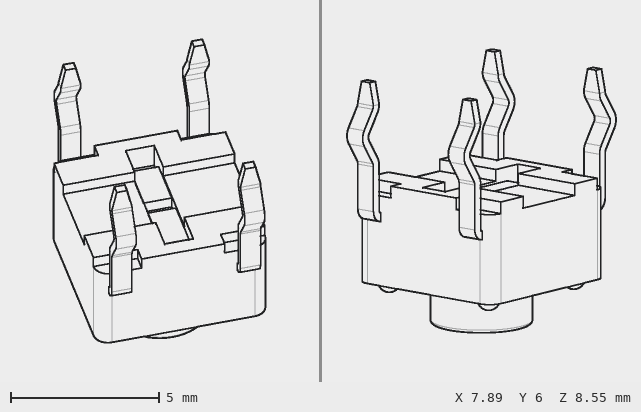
import cadquery as cq
import math


total_height = 8.55

body_side = 6.0
body_height = 3.505
corner_radius = 0.505

recess_depth = 0.4
channel_width = 2.67
corner_step_length = 1.55
slot_length = 4.94
slot_width = 1.0
slot_depth = 0.89

block_drop = 0.085
block_top = body_height - recess_depth - block_drop
block_inner_x = 0.265
block_outer_x = 1.92

button_height = 1.5
button_base_radius = 1.735
button_end_radius = 1.73
button_rounding = 0.13
bump_radius = 0.385
bump_offset = 2.21

pin_tip_z = total_height - button_height
pin_width = 0.7
pin_thickness = 0.3
pin_spacing_y = 4.5
pin_foot_z = 2.22
pin_outer_x = 3.39
foot_inner_radius = 0.11
foot_embed = 0.17
knee_span_x = 7.89
knee_outer_x = knee_span_x / 2
knee_z = 5.23
knee_angle = math.radians(33.7)
bend_inner_radius = 0.2
tip_length = 0.76
tip_width = 0.37


def make_body():
    body = (
        cq.Workplane("XY")
        .rect(body_side, body_side)
        .extrude(body_height)
        .edges("|Z")
        .fillet(corner_radius)
    )
    channel = (
        cq.Workplane("XY", origin=(0, 0, body_height - recess_depth))
        .rect(channel_width, body_side)
        .extrude(recess_depth)
    )
    corner_steps = (
        cq.Workplane("XY", origin=(0, 0, body_height - recess_depth))
        .rect(body_side, body_side, forConstruction=True)
        .vertices()
        .rect(2 * corner_radius, 2 * corner_step_length)
        .extrude(recess_depth)
    )
    slot = (
        cq.Workplane("XY", origin=(0, 0, body_height - slot_depth))
        .rect(slot_length, slot_width)
        .extrude(slot_depth)
    )
    return body.cut(channel).cut(corner_steps).cut(slot)


def make_slot_blocks():
    slot_floor = body_height - slot_depth
    block_center_x = (block_inner_x + block_outer_x) / 2
    return (
        cq.Workplane("XY", origin=(0, 0, slot_floor))
        .pushPoints([(-block_center_x, 0), (block_center_x, 0)])
        .rect(block_outer_x - block_inner_x, slot_width)
        .extrude(block_top - slot_floor)
    )


def make_button():
    return (
        cq.Workplane("XY")
        .circle(button_base_radius)
        .workplane(offset=-button_height)
        .circle(button_end_radius)
        .loft()
        .faces("<Z")
        .edges()
        .fillet(button_rounding)
    )


def make_bumps():
    return (
        cq.Workplane("XY")
        .rect(2 * bump_offset, 2 * bump_offset, forConstruction=True)
        .vertices()
        .sphere(bump_radius)
    )


def make_pin():
    """The pin on the +X side, centred on Y = 0."""
    half_thickness = pin_thickness / 2
    foot_radius = foot_inner_radius + half_thickness
    bend_radius = bend_inner_radius + half_thickness
    leg_x = pin_outer_x - half_thickness
    start_x = body_side / 2 - foot_embed
    start_z = pin_foot_z + half_thickness

    bend_x = bend_radius * (1 - math.cos(knee_angle))
    bend_z = bend_radius * math.sin(knee_angle)
    slope_x = knee_outer_x - pin_outer_x - 2 * bend_x
    slope_z = slope_x / math.tan(knee_angle)
    knee_start_z = knee_z - slope_z - 2 * bend_z

    centerline = (
        cq.Workplane("XZ")
        .moveTo(start_x, start_z)
        .lineTo(leg_x - foot_radius, start_z)
        .tangentArcPoint((foot_radius, foot_radius))
        .lineTo(leg_x, knee_start_z)
        .tangentArcPoint((bend_x, bend_z))
        .line(slope_x, slope_z)
        .tangentArcPoint((0, 2 * bend_z))
        .line(-slope_x, slope_z)
        .tangentArcPoint((-bend_x, bend_z))
        .lineTo(leg_x, pin_tip_z)
    )
    strip = (
        cq.Workplane("YZ", origin=(start_x, 0, start_z))
        .rect(pin_width, pin_thickness)
        .sweep(centerline)
    )
    tapered_silhouette = (
        cq.Workplane("YZ")
        .moveTo(-pin_width / 2, 0)
        .lineTo(pin_width / 2, 0)
        .lineTo(pin_width / 2, pin_tip_z - tip_length)
        .lineTo(tip_width / 2, pin_tip_z)
        .lineTo(-tip_width / 2, pin_tip_z)
        .lineTo(-pin_width / 2, pin_tip_z - tip_length)
        .close()
        .extrude(knee_outer_x)
    )
    return strip.intersect(tapered_silhouette)


result = make_body().union(make_slot_blocks()).union(make_button()).union(make_bumps())

right_pin = make_pin()
left_pin = right_pin.mirror("YZ")
for pin_y in (-pin_spacing_y / 2, pin_spacing_y / 2):
    result = result.union(right_pin.translate((0, pin_y, 0)))
    result = result.union(left_pin.translate((0, pin_y, 0)))